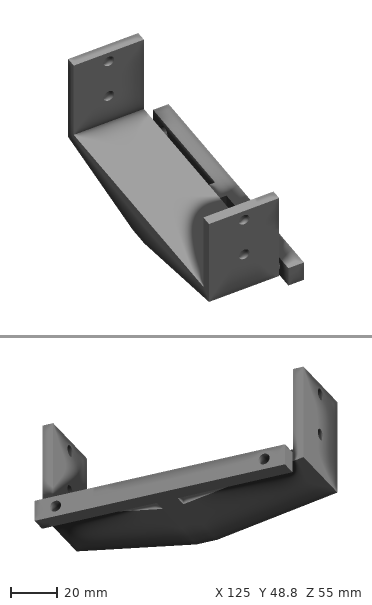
import cadquery as cq

length = 125.0
height = 55.0
cradle_depth = 35.0
wall = 5.0
floor_top = 15.0
taper_height = 10.0
bottom_flat = 10.0

bar_length = 120.0
bar_depth = 7.8
bar_height = taper_height
neck_width = 10.0
neck_depth = 6.0

hole_diameter = 5.2
bar_hole_spacing = 100.0
wall_hole_heights = (30.0, 50.0)

half_length = length / 2
half_inside = half_length - wall
neck_back = cradle_depth + neck_depth
bar_back = neck_back + bar_depth


def make_block(width, front, back, block_height):
    """Block centred on X, standing on Z = 0 between two Y positions."""
    return (
        cq.Workplane("XY")
        .box(width, back - front, block_height, centered=(True, False, False))
        .translate((0, front, 0))
    )


def make_cradle():
    outline = [
        (-bottom_flat / 2, 0),
        (bottom_flat / 2, 0),
        (half_length, taper_height),
        (half_length, height),
        (half_inside, height),
        (half_inside, floor_top),
        (-half_inside, floor_top),
        (-half_inside, height),
        (-half_length, height),
        (-half_length, taper_height),
    ]
    return cq.Workplane("XZ").polyline(outline).close().extrude(-cradle_depth)


def make_wall_holes():
    """Cutters along X through both upright walls."""
    return (
        cq.Workplane("YZ", origin=(-half_length, 0, 0))
        .pushPoints([(cradle_depth / 2, z) for z in wall_hole_heights])
        .circle(hole_diameter / 2)
        .extrude(length)
    )


def make_bar_holes():
    """Cutters along Y through the mounting bar."""
    return (
        cq.Workplane("XZ", origin=(0, neck_back, 0))
        .pushPoints([(side * bar_hole_spacing / 2, bar_height / 2) for side in (-1, 1)])
        .circle(hole_diameter / 2)
        .extrude(-bar_depth)
    )


neck = make_block(neck_width, cradle_depth, neck_back, bar_height)
bar = make_block(bar_length, neck_back, bar_back, bar_height)

result = make_cradle().union(neck).union(bar)
result = result.cut(make_wall_holes()).cut(make_bar_holes())